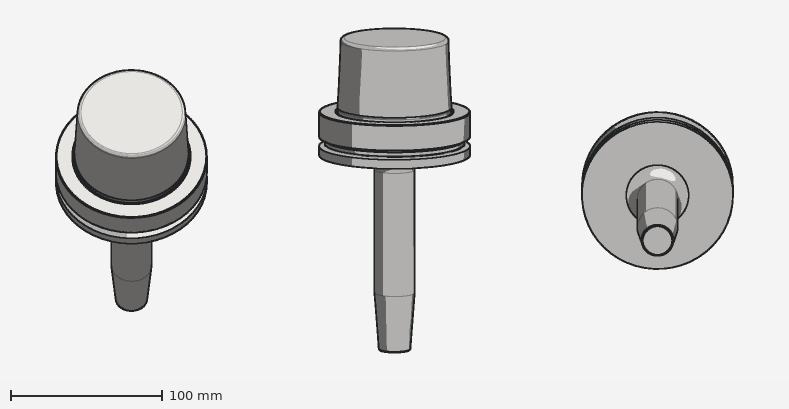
import cadquery as cq
import math

total_height = 210.0
flange_top = 160.4
flange_thickness = 29.4
flange_bottom = flange_top - flange_thickness
nose_top = 38.6

flange_radius = 100.0 / 2
cone_base_radius = 37.8
cone_top_radius = 35.7
shank_radius = 13.5
nose_tip_radius = 10.5

cone_top_fillet = 2.3
flange_chamfer = 0.6
nose_tip_chamfer = 0.8

groove_floor_radius = 46.0
groove_top = 143.4
groove_floor_top = 141.5
groove_floor_bottom = 138.3
groove_bottom = 137.0
groove_fillet = 0.5

relief_height = 2.7
relief_radius = 37.4
relief_outer_radius = 39.3
relief_depth = 0.8

root_radius = 10.0
root_height = 9.7


def root_point(angle):
    """Point on the root arc at an angle turned from its tangency with the shank."""
    radius = shank_radius + root_radius * (1 - math.cos(angle))
    height = flange_bottom - root_height + root_radius * math.sin(angle)
    return radius, height


def turned_body():
    """Half profile in the XZ plane revolved about the Z axis."""
    root_angle = math.asin(root_height / root_radius)
    profile = (
        cq.Workplane("XZ")
        .moveTo(0, 0)
        .lineTo(nose_tip_radius, 0)
        .lineTo(shank_radius, nose_top)
        .lineTo(*root_point(0))
        .threePointArc(root_point(root_angle / 2), root_point(root_angle))
        .lineTo(flange_radius, flange_bottom)
        .lineTo(flange_radius, groove_bottom)
        .lineTo(groove_floor_radius, groove_floor_bottom)
        .lineTo(groove_floor_radius, groove_floor_top)
        .lineTo(flange_radius, groove_top)
        .lineTo(flange_radius, flange_top)
        .lineTo(relief_outer_radius, flange_top)
        .lineTo(relief_outer_radius - relief_depth, flange_top - relief_depth)
        .lineTo(relief_radius, flange_top - relief_depth)
        .lineTo(relief_radius, flange_top + relief_height / 2)
        .lineTo(cone_base_radius, flange_top + relief_height)
        .lineTo(cone_top_radius, total_height)
        .lineTo(0, total_height)
        .close()
    )
    return profile.revolve(360, (0, 0, 0), (0, 1, 0))


def break_edges(body):
    """Round the cone rim and groove floor, and chamfer the nose tip and the upper flange rim."""
    flange_rim = cq.selectors.RadiusNthSelector(-1)
    body = body.faces(">Z").edges().fillet(cone_top_fillet)
    body = body.faces("<Z").edges().chamfer(nose_tip_chamfer)
    groove_floor_zone = cq.selectors.BoxSelector(
        (-flange_radius, -flange_radius, groove_bottom),
        (flange_radius, flange_radius, groove_top),
    )
    groove_floor = cq.selectors.RadiusNthSelector(0)
    body = body.edges("%CIRCLE").edges(groove_floor_zone).edges(groove_floor).fillet(groove_fillet)
    upper_rim = body.edges("%CIRCLE").edges(flange_rim).edges(">Z")
    return upper_rim.chamfer(flange_chamfer)


result = break_edges(turned_body())